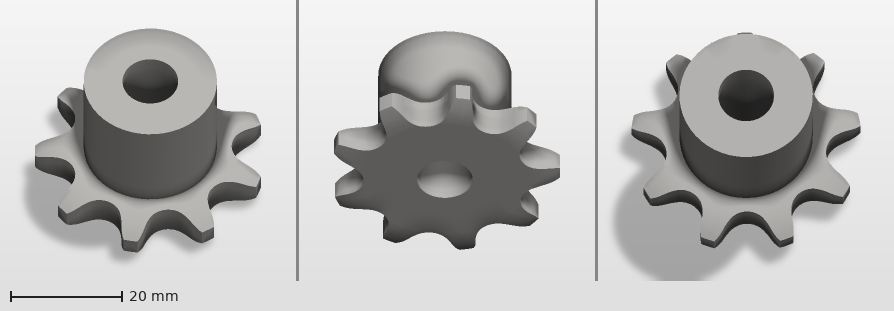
import cadquery as cq
import math

tooth_count = 9
chain_pitch = 12.7
roller_diameter = 7.75
form_clearance = 0.037
outer_diameter = 41.48
plate_thickness = 5.77
flat_face_diameter = 30.2
crown_depth = 1.28
hub_diameter = 24.0
bore_diameter = 10.0
total_height = 25.0

seat_factor = 0.5025
flank_center_factor = 0.8
flank_factor = seat_factor + flank_center_factor
topping_center_factor = 1.4

outer_radius = outer_diameter / 2
tooth_angle = 360 / tooth_count
pitch_radius = chain_pitch / 2 / math.sin(math.radians(tooth_angle / 2))


def offset(point, distance, angle):
    """Point at a distance from another one, angle in degrees from +X."""
    turn = math.radians(angle)
    return (point[0] + distance * math.cos(turn), point[1] + distance * math.sin(turn))


def mirrored(point):
    """Mirror image of a point on the other flank of the tooth gap."""
    return (-point[0], point[1])


def toothed_plate_blank():
    """Disc whose two rims fall away in an arc tangent to the flat faces."""
    flat_radius = flat_face_diameter / 2
    crown_width = outer_radius - flat_radius
    crown_radius = (crown_width**2 + crown_depth**2) / (2 * crown_depth)
    half_sweep = math.degrees(math.asin(crown_width / crown_radius)) / 2
    upper_middle = offset((flat_radius, plate_thickness - crown_radius), crown_radius, 90 - half_sweep)
    lower_middle = offset((flat_radius, crown_radius), crown_radius, half_sweep - 90)
    return (
        cq.Workplane("XZ")
        .lineTo(flat_radius, 0)
        .threePointArc(lower_middle, (outer_radius, crown_depth))
        .lineTo(outer_radius, plate_thickness - crown_depth)
        .threePointArc(upper_middle, (flat_radius, plate_thickness))
        .lineTo(0, plate_thickness)
        .close()
        .revolve(360, (0, 0, 0), (0, 1, 0))
    )


def tooth_gap():
    """Standard roller chain (ASA) gap on +Y: seat, flank arc, short flat, topping arc."""
    seat_radius = seat_factor * roller_diameter + form_clearance
    flank_radius = flank_factor * roller_diameter + form_clearance
    flank_offset = flank_center_factor * roller_diameter
    topping_offset = topping_center_factor * roller_diameter

    seat_angle = 35 + 60 / tooth_count
    flank_sweep = 18 - 56 / tooth_count
    topping_angle = 17 - 64 / tooth_count
    flat_angle = seat_angle - flank_sweep
    flank_turn = math.radians(flank_sweep)
    topping_turn = math.radians(topping_angle)
    flat_length = (
        topping_offset * math.sin(topping_turn)
        - flank_offset * math.sin(flank_turn)
    )
    topping_radius = (
        flank_offset * math.cos(flank_turn)
        + topping_offset * math.cos(topping_turn)
        - flank_radius
    )

    roller_center = (0, pitch_radius)
    gap_bottom = offset(roller_center, seat_radius, -90)
    seat_end = offset(roller_center, seat_radius, -seat_angle)
    flank_center = offset(seat_end, flank_radius, 180 - seat_angle)
    flank_middle = offset(flank_center, flank_radius, -seat_angle + flank_sweep / 2)
    flank_end = offset(flank_center, flank_radius, -flat_angle)
    flat_end = offset(flank_end, flat_length, 90 - flat_angle)
    topping_center = offset(flat_end, topping_radius, -flat_angle)
    topping_middle = offset(topping_center, topping_radius, 135 - flat_angle / 2)
    topping_end = offset(topping_center, topping_radius, 90)

    return (
        cq.Workplane("XY")
        .moveTo(*topping_end)
        .threePointArc(topping_middle, flat_end)
        .lineTo(*flank_end)
        .threePointArc(flank_middle, seat_end)
        .threePointArc(gap_bottom, mirrored(seat_end))
        .threePointArc(mirrored(flank_middle), mirrored(flank_end))
        .lineTo(*mirrored(flat_end))
        .threePointArc(mirrored(topping_middle), mirrored(topping_end))
        .close()
        .extrude(plate_thickness)
    )


sprocket = toothed_plate_blank()
gap = tooth_gap()
for index in range(tooth_count):
    sprocket = sprocket.cut(gap.rotate((0, 0, 0), (0, 0, 1), index * tooth_angle))

hub = cq.Workplane("XY").circle(hub_diameter / 2).extrude(total_height)
bore = cq.Workplane("XY").circle(bore_diameter / 2).extrude(total_height)
result = sprocket.union(hub).cut(bore)